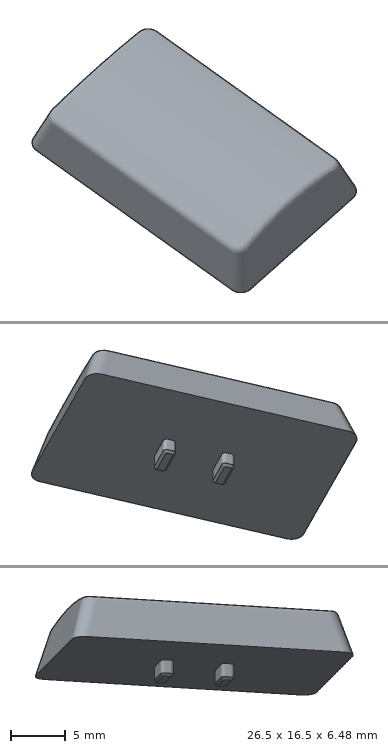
import cadquery as cq

length = 26.5
width = 16.5
body_height = 5.0
block_height = 6.02
wall_lean_deg = 16
crown_radius = 28.88
corner_radius = 1.27
rim_radius = 0.6

prong_spacing = 5.72
prong_thickness = 1.2
prong_width = 3.02
prong_height = 1.48
prong_corner_radius = 0.35
prong_tip_chamfer = 0.25


def make_body():
    block = (
        cq.Workplane("XY")
        .rect(length, width)
        .extrude(block_height, taper=wall_lean_deg)
        .edges("not (|X or |Y)")
        .fillet(corner_radius)
    )
    crown = (
        cq.Workplane("YZ")
        .center(0, body_height - crown_radius)
        .circle(crown_radius)
        .extrude(length / 2, both=True)
    )
    return block.intersect(crown).faces(">Z").edges().fillet(rim_radius)


def make_prong(x):
    return (
        cq.Workplane("XY")
        .center(x, 0)
        .rect(prong_thickness, prong_width)
        .extrude(-prong_height)
        .edges("|Z")
        .fillet(prong_corner_radius)
        .faces("<Z")
        .edges()
        .chamfer(prong_tip_chamfer)
    )


result = make_body()
for side in (-1, 1):
    result = result.union(make_prong(side * prong_spacing / 2))